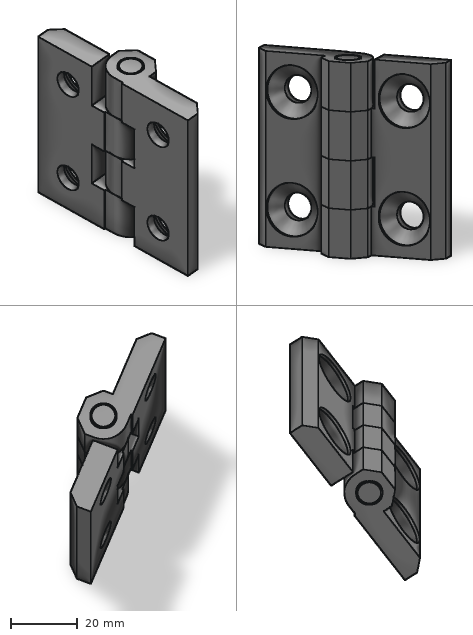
import cadquery as cq
import math

LEAF_REACH = 30.0
HEIGHT = 60.0
PLATE_THICKNESS = 8.0
EDGE_CHAMFER = 3.5

KNUCKLE_COUNT = 4
KNUCKLE_HEIGHT = HEIGHT / KNUCKLE_COUNT
KNUCKLE_RADIUS = 7.5
KNUCKLE_BEVEL = 4.0
KNUCKLE_CLEARANCE = 1.0
AXIS_Y = PLATE_THICKNESS
KNUCKLE_CREST_Y = AXIS_Y + 7.0
KNUCKLE_BOTTOM_Y = AXIS_Y - KNUCKLE_RADIUS
KNUCKLE_FLAT = KNUCKLE_RADIUS - KNUCKLE_BEVEL
NOTCH_REACH = KNUCKLE_RADIUS + KNUCKLE_CLEARANCE

PIN_DIAMETER = 8.0
PIN_CHAMFER = 0.5

HOLE_DIAMETER = 8.5
HEAD_DIAMETER = 16.5
HEAD_RECESS = 1.0
HOLE_X = 18.0
HOLE_Z = 18.0


def leaf_plate():
    """Flat of the right leaf, from its notches for the other knuckles to its bevelled edge."""
    return (
        cq.Workplane("XY", origin=(0, 0, -HEIGHT / 2))
        .moveTo(NOTCH_REACH, 0)
        .lineTo(LEAF_REACH, 0)
        .lineTo(LEAF_REACH, PLATE_THICKNESS - EDGE_CHAMFER)
        .lineTo(LEAF_REACH - EDGE_CHAMFER, PLATE_THICKNESS)
        .lineTo(NOTCH_REACH, PLATE_THICKNESS)
        .close()
        .extrude(HEIGHT)
    )


def knuckle(bottom_z):
    """One knuckle of the right leaf, with the arm that joins it to the plate."""
    arc_middle = KNUCKLE_RADIUS * math.cos(math.radians(45))
    return (
        cq.Workplane("XY", origin=(0, 0, bottom_z))
        .moveTo(0, KNUCKLE_BOTTOM_Y)
        .lineTo(KNUCKLE_FLAT, KNUCKLE_BOTTOM_Y)
        .lineTo(KNUCKLE_FLAT, 0)
        .lineTo(NOTCH_REACH, 0)
        .lineTo(NOTCH_REACH, PLATE_THICKNESS)
        .lineTo(KNUCKLE_RADIUS, PLATE_THICKNESS)
        .lineTo(KNUCKLE_RADIUS, KNUCKLE_CREST_Y - KNUCKLE_BEVEL)
        .lineTo(KNUCKLE_FLAT, KNUCKLE_CREST_Y)
        .lineTo(-KNUCKLE_FLAT, KNUCKLE_CREST_Y)
        .lineTo(-KNUCKLE_RADIUS, KNUCKLE_CREST_Y - KNUCKLE_BEVEL)
        .lineTo(-KNUCKLE_RADIUS, AXIS_Y)
        .threePointArc((-arc_middle, AXIS_Y - arc_middle), (0, KNUCKLE_BOTTOM_Y))
        .close()
        .extrude(KNUCKLE_HEIGHT)
    )


def pin_cylinder():
    """Full-length cylinder on the pin axis: the pin's blank and the bore it fills."""
    return (
        cq.Workplane("XY", origin=(0, AXIS_Y, -HEIGHT / 2))
        .circle(PIN_DIAMETER / 2)
        .extrude(HEIGHT)
    )


def screw_hole(x, z):
    """Through hole, 90 degree cone and shallow head recess, turned about an axis along Y."""
    hole_radius = HOLE_DIAMETER / 2
    head_radius = HEAD_DIAMETER / 2
    cone_end_y = PLATE_THICKNESS - HEAD_RECESS
    cone_start_y = cone_end_y - (head_radius - hole_radius)
    return (
        cq.Workplane("XY", origin=(x, 0, z))
        .lineTo(hole_radius, 0)
        .lineTo(hole_radius, cone_start_y)
        .lineTo(head_radius, cone_end_y)
        .lineTo(head_radius, PLATE_THICKNESS)
        .lineTo(0, PLATE_THICKNESS)
        .close()
        .revolve(360, (0, 0, 0), (0, 1, 0))
    )


def make_leaf():
    """Right leaf, owning every second knuckle, the top one included."""
    leaf = leaf_plate()
    for index in range(1, KNUCKLE_COUNT, 2):
        leaf = leaf.union(knuckle(index * KNUCKLE_HEIGHT - HEIGHT / 2))
    leaf = leaf.cut(pin_cylinder())
    for z in (-HOLE_Z, HOLE_Z):
        leaf = leaf.cut(screw_hole(HOLE_X, z))
    return leaf


def make_pin():
    """Pin flush with both ends of the hinge, its rims chamfered."""
    return pin_cylinder().faces("<Z or >Z").chamfer(PIN_CHAMFER)


right_leaf = make_leaf()
left_leaf = make_leaf().rotate((0, 0, 0), (0, 1, 0), 180)
pin = make_pin()

result = cq.Compound.makeCompound([right_leaf.val(), left_leaf.val(), pin.val()])